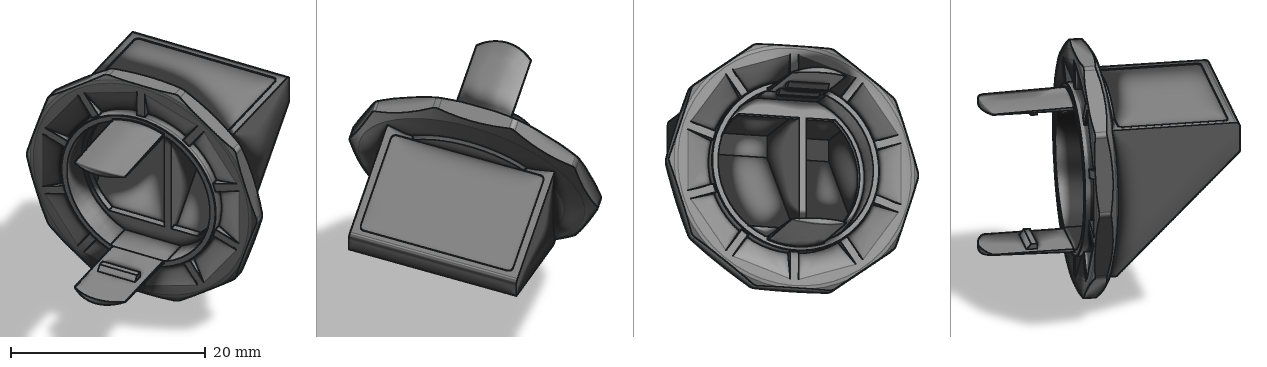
import cadquery as cq
import math


SIDES = 10
SECTOR = 360 / SIDES
ACROSS_FLATS = 25.5
CORNER_RADIUS = 1.07
FLANGE_THICKNESS = 2.75
RIM_FLAT_RADIUS = 25.0 / 2
RIM_BREAK_RADIUS = 12.87
RIM_BREAK_Y = 0.03
RIM_CORNER_Y = 0.25
BACK_FLAT_RADIUS = 10.15
BACK_BREAK_RADIUS = 12.18
BACK_BREAK_Y = 2.2
BACK_CORNER_Y = 1.42

COLLAR_RADIUS = 17.92 / 2
COLLAR_HEIGHT = 0.5
COLLAR_EDGE = 0.05
BORE_RADIUS = 8.3
BORE_HALF_HEIGHT = 7.65
BORE_DEPTH = 2.72

POCKET_APOTHEM = 11.38
POCKET_DEPTH = 0.8
RIB_WIDTH = 0.9

HOOD_WIDTH = 18.0
HOOD_BACK = 15.68
HOOD_TOP = 7.53
HOOD_BOTTOM = -8.57
HOOD_EDGE_RADIUS = 0.5
HOOD_ROOT = 1.34
SLOPE_OFFSET = HOOD_BOTTOM - FLANGE_THICKNESS

SLOPE_WALL = 0.8
SIDE_WALL = 1.07
TOP_WALL = 1.0
BACK_WALL = 1.23
MOUTH_THICKNESS = 0.8
OPENING_RADIUS = 7.8
OPENING_HALF_HEIGHT = 5.88
DIVIDER_THICKNESS = 0.77
DIVIDER_LEFT = 1.3

PANEL_WIDTH = 16.4
PANEL_FRONT = 3.15
PANEL_BACK = 14.6
PANEL_CORNER = 0.5
PANEL_DEPTH = 0.1

BOSS_ROOT_RADIUS = 9.78
BOSS_TOP_RADIUS = 9.55
BOSS_TOP = PANEL_FRONT

TONGUE_WIDTH = 5.88
TONGUE_END = -10.02
TONGUE_ROOT_RADIUS = 8.5
TONGUE_TIP_RADIUS = 8.28
TONGUE_TIP_INNER = 7.7
TONGUE_NOSE_RADIUS = 4.85
TONGUE_TIP_ROUND = 0.08
FOOT_WIDTH = 6.04
FOOT_HEIGHT = 0.08
FOOT_RADIUS = 8.55

CATCH_WIDTH = 4.33
CATCH_CREST = 7.1
CATCH_CREST_LENGTH = 0.65
CATCH_LENGTH = 1.15
OUTER_CATCH_Y = -4.27
INNER_CATCH_Y = -1.05


def cylinder_solid(radius, y_start, y_end):
    """Cylinder about the Y axis."""
    return cq.Workplane("XZ", origin=(0, y_end, 0)).circle(radius).extrude(y_end - y_start)


def turned_solid(profile):
    """Solid of revolution of an (r, y) profile about the Y axis."""
    return cq.Workplane("XY").polyline(profile).close().revolve(360, (0, 0), (0, 1))


def box_between(x_range, y_range, z_range):
    """Axis-aligned box given by its limits."""
    lengths = [high - low for low, high in (x_range, y_range, z_range)]
    corner = (x_range[0], y_range[0], z_range[0])
    return cq.Workplane("XY").box(*lengths, centered=False).translate(corner)


def side_prism(points, width):
    """Prism of a (y, z) outline, centred on x = 0."""
    return cq.Workplane("YZ").polyline(points).close().extrude(width / 2, both=True)


def make_flange():
    corner_distance = ACROSS_FLATS / 2 / math.cos(math.radians(SECTOR / 2))
    prism = (
        cq.Workplane("XZ", origin=(0, FLANGE_THICKNESS, 0))
        .polygon(SIDES, 2 * corner_distance)
        .extrude(FLANGE_THICKNESS)
        .edges("|Y")
        .fillet(CORNER_RADIUS)
    )
    profile = [
        (0, 0),
        (RIM_FLAT_RADIUS, 0),
        (RIM_BREAK_RADIUS, RIM_BREAK_Y),
        (corner_distance, RIM_CORNER_Y),
        (corner_distance, BACK_CORNER_Y),
        (BACK_BREAK_RADIUS, BACK_BREAK_Y),
        (BACK_FLAT_RADIUS, FLANGE_THICKNESS),
        (0, FLANGE_THICKNESS),
    ]
    return prism.intersect(turned_solid(profile))


def make_pockets():
    """Tapered ring, from a decagon down to the collar, split up by radial ribs."""
    corner_distance = POCKET_APOTHEM / math.cos(math.radians(SECTOR / 2))

    def polar(radius, sector, y):
        angle = math.radians(90 + sector * SECTOR)
        return cq.Vector(radius * math.cos(angle), y, radius * math.sin(angle))

    decagon = cq.Wire.makePolygon([polar(corner_distance, i, 0) for i in range(SIDES)], close=True)
    arcs = []
    for i in range(SIDES):
        start, middle, end = [polar(COLLAR_RADIUS, i + part, POCKET_DEPTH) for part in (0, 0.5, 1)]
        arcs.append(cq.Edge.makeThreePointArc(start, middle, end))
    circle = cq.Wire.assembleEdges(arcs)
    pockets = cq.Workplane(cq.Solid.makeLoft([decagon, circle], True))
    pockets = pockets.cut(cylinder_solid(COLLAR_RADIUS, 0, POCKET_DEPTH))
    rib = box_between((-RIB_WIDTH / 2, RIB_WIDTH / 2), (0, POCKET_DEPTH), (0, corner_distance))
    for i in range(SIDES):
        pockets = pockets.cut(rib.rotate((0, 0, 0), (0, 1, 0), i * SECTOR))
    return pockets


def make_bore():
    bore = cylinder_solid(BORE_RADIUS, -COLLAR_HEIGHT, BORE_DEPTH)
    flats = box_between(
        (-BORE_RADIUS, BORE_RADIUS),
        (-COLLAR_HEIGHT, BORE_DEPTH),
        (-BORE_HALF_HEIGHT, BORE_HALF_HEIGHT),
    )
    return bore.intersect(flats)


def make_hood():
    outline = [
        (HOOD_ROOT, HOOD_TOP),
        (HOOD_BACK, HOOD_TOP),
        (HOOD_BACK, HOOD_BACK + SLOPE_OFFSET),
        (FLANGE_THICKNESS, HOOD_BOTTOM),
        (HOOD_ROOT, HOOD_BOTTOM),
    ]
    hood = side_prism(outline, HOOD_WIDTH).edges(">Y").edges("|X").fillet(HOOD_EDGE_RADIUS)
    panel = (
        cq.Workplane("XY", origin=(0, (PANEL_FRONT + PANEL_BACK) / 2, HOOD_TOP - PANEL_DEPTH))
        .rect(PANEL_WIDTH, PANEL_BACK - PANEL_FRONT)
        .extrude(PANEL_DEPTH)
        .edges("|Z")
        .fillet(PANEL_CORNER)
    )
    return hood.cut(panel)


def make_cavity():
    """Hollow that follows the outside of the hood, with its mouth and a divider."""
    mouth_back = BORE_DEPTH + MOUTH_THICKNESS
    cavity_back = HOOD_BACK - BACK_WALL
    cavity_top = HOOD_TOP - TOP_WALL
    floor_offset = SLOPE_OFFSET + SLOPE_WALL * math.sqrt(2)
    outline = [
        (mouth_back, cavity_top),
        (cavity_back, cavity_top),
        (cavity_back, cavity_back + floor_offset),
        (mouth_back, mouth_back + floor_offset),
    ]
    hollow = side_prism(outline, HOOD_WIDTH - 2 * SIDE_WALL)
    opening_flats = box_between(
        (-OPENING_RADIUS, OPENING_RADIUS),
        (BORE_DEPTH, mouth_back),
        (-OPENING_HALF_HEIGHT, OPENING_HALF_HEIGHT),
    )
    opening = cylinder_solid(OPENING_RADIUS, BORE_DEPTH, mouth_back).intersect(opening_flats)
    divider = box_between(
        (DIVIDER_LEFT, DIVIDER_LEFT + DIVIDER_THICKNESS),
        (BORE_DEPTH, cavity_back),
        (HOOD_BOTTOM, HOOD_TOP),
    )
    return hollow.union(opening).cut(divider)


def make_boss():
    profile = [
        (0, HOOD_ROOT),
        (BOSS_ROOT_RADIUS, HOOD_ROOT),
        (BOSS_ROOT_RADIUS, FLANGE_THICKNESS),
        (BOSS_TOP_RADIUS, BOSS_TOP),
        (0, BOSS_TOP),
    ]
    above_hood = box_between(
        (-BOSS_ROOT_RADIUS, BOSS_ROOT_RADIUS),
        (HOOD_ROOT, BOSS_TOP),
        (HOOD_TOP - PANEL_DEPTH, BOSS_ROOT_RADIUS),
    )
    return turned_solid(profile).intersect(above_hood)


def make_catch(y_back):
    outline = [
        (y_back, TONGUE_TIP_INNER),
        (y_back, CATCH_CREST),
        (y_back - CATCH_CREST_LENGTH, CATCH_CREST),
        (y_back - CATCH_LENGTH, TONGUE_TIP_INNER),
    ]
    return side_prism(outline, CATCH_WIDTH)


def make_tongue():
    """Upper tongue: flat inside, conical outside, with a rounded nose."""
    root = -COLLAR_HEIGHT
    cone = turned_solid(
        [(0, root), (TONGUE_ROOT_RADIUS, root), (TONGUE_TIP_RADIUS, TONGUE_END), (0, TONGUE_END)]
    )
    inner_side = side_prism(
        [
            (root, BORE_HALF_HEIGHT),
            (root, COLLAR_RADIUS),
            (TONGUE_END, COLLAR_RADIUS),
            (TONGUE_END, TONGUE_TIP_INNER),
        ],
        TONGUE_WIDTH,
    )
    half_width = TONGUE_WIDTH / 2
    nose_rise = TONGUE_NOSE_RADIUS - math.sqrt(TONGUE_NOSE_RADIUS**2 - half_width**2)
    plan = (
        cq.Workplane("XY")
        .moveTo(-half_width, root)
        .lineTo(-half_width, TONGUE_END + nose_rise)
        .threePointArc((0, TONGUE_END), (half_width, TONGUE_END + nose_rise))
        .lineTo(half_width, root)
        .close()
        .extrude(COLLAR_RADIUS)
    )
    tongue = cone.intersect(inner_side).intersect(plan)
    tongue = tongue.faces("<Y").edges(">Z").fillet(TONGUE_TIP_ROUND)
    foot_block = box_between(
        (-FOOT_WIDTH / 2, FOOT_WIDTH / 2),
        (root - FOOT_HEIGHT, root),
        (BORE_HALF_HEIGHT, FOOT_RADIUS),
    )
    foot = cylinder_solid(FOOT_RADIUS, root - FOOT_HEIGHT, root).intersect(foot_block)
    return tongue.union(foot)


collar = cylinder_solid(COLLAR_RADIUS, -COLLAR_HEIGHT, 0).faces("<Y").chamfer(COLLAR_EDGE)
upper_tongue = make_tongue().union(make_catch(OUTER_CATCH_Y))
lower_tongue = upper_tongue.mirror("XY")
upper_tongue = upper_tongue.union(make_catch(INNER_CATCH_Y))

result = (
    make_flange()
    .cut(make_pockets())
    .union(collar)
    .union(make_hood())
    .union(make_boss())
    .cut(make_bore())
    .cut(make_cavity())
    .union(upper_tongue)
    .union(lower_tongue)
)